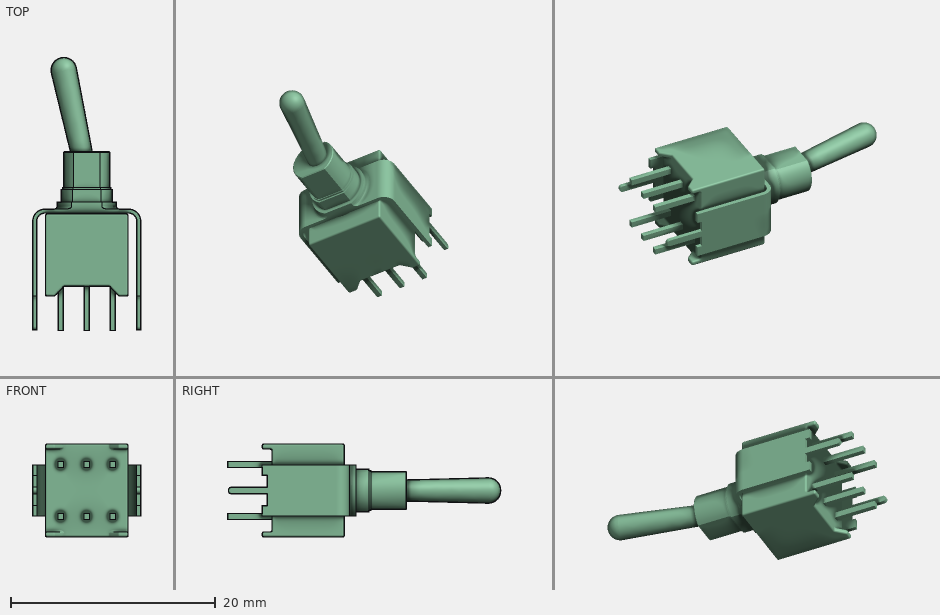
import cadquery as cq
import math

FOOT_END = 3.35
BASE_FACE = 4.32
CASE_TOP = 11.38
BRACKET_TOP = 11.86
BOSS_TOP = 12.53
COLLAR_TOP = 13.78
STEP_TOP = 13.97
BUSHING_TOP = 17.45
LEVER_TOP = 26.65

CASE_WIDTH = 8.08
CASE_DEPTH = 9.1
FOOT_THICKNESS = 0.5
FOOT_GAP_TOP = 4.43
FOOT_GAP_END = 6.3
EDGE_RADIUS = 0.19

BRACKET_WIDTH = 10.55
BRACKET_DEPTH = 5.0
SHEET = 0.4
BEND_RADIUS = 1.2
ARM_NOTCH_TOP = 3.85
ARM_NOTCH_DEPTH = 2.93
LEG_DEPTH = 0.67
LEG_TIP = 0.05

BOSS_RADIUS = 2.9
BOSS_FILLET = 0.3
COLLAR_RADIUS = 2.5
COLLAR_FLATS = 4.19
STEP_RADIUS = 2.35
STEP_FLATS = 3.87
BUSHING_RADIUS = 2.27
BUSHING_FLATS = 3.7
BUSHING_CHAMFER = 0.08

LEVER_TILT = 12.2
BALL_RADIUS = 1.25
BALL_OFFSET = 2.25
LEVER_ROOT_RADIUS = 1.0
LEVER_LENGTH = 9.6

PIN_WIDTH = 0.5
PIN_DEPTH = 0.6
PIN_EMBEDMENT = 0.4
PIN_PITCH = 2.53
PIN_ROW_SPACING = 5.07

BRACKET_UNDERSIDE = BRACKET_TOP - SHEET


def box_between(width, bottom, top, depth):
    """Box centred on X and Z that spans bottom to top along Y."""
    return cq.Workplane("XY").box(width, top - bottom, depth).translate((0, (bottom + top) / 2, 0))


def cylinder_between(radius, bottom, top):
    """Cylinder around the Y axis that spans bottom to top."""
    axis = cq.Vector(0, 1, 0)
    return cq.Workplane(cq.Solid.makeCylinder(radius, top - bottom, cq.Vector(0, bottom, 0), axis))


def flatted_cylinder(radius, flats, bottom, top):
    """Cylinder around the Y axis with two flats facing +Z and -Z."""
    return cylinder_between(radius, bottom, top).intersect(box_between(2 * radius, bottom, top, flats))


def make_case():
    """Rounded case with a foot at each corner of its pin side."""
    case = box_between(CASE_WIDTH, FOOT_END, CASE_TOP, CASE_DEPTH)
    recess = box_between(2 * CASE_WIDTH, 0, BASE_FACE, CASE_DEPTH - 2 * FOOT_THICKNESS)
    gap = (
        cq.Workplane("XY")
        .polyline([
            (-FOOT_GAP_END / 2, FOOT_END),
            (-FOOT_GAP_TOP / 2, BASE_FACE),
            (FOOT_GAP_TOP / 2, BASE_FACE),
            (FOOT_GAP_END / 2, FOOT_END),
        ])
        .close()
        .extrude(CASE_DEPTH, both=True)
    )
    case = case.cut(recess).cut(gap)
    return case.edges().fillet(EDGE_RADIUS)


def make_bracket():
    """Bent sheet bracket that straddles the case."""
    inside_width = BRACKET_WIDTH - 2 * SHEET
    outer = box_between(BRACKET_WIDTH, 0, BRACKET_TOP, BRACKET_DEPTH).edges("|Z and >Y").fillet(BEND_RADIUS)
    inner = box_between(inside_width, 0, BRACKET_UNDERSIDE, BRACKET_DEPTH)
    inner = inner.edges("|Z and >Y").fillet(BEND_RADIUS - SHEET)
    tip_radius = LEG_DEPTH / 2
    tip_centre = LEG_TIP + tip_radius
    tip_outline = cq.Workplane("YZ").center(tip_centre, 0).circle(tip_radius)
    rounded_tip = tip_outline.extrude(BRACKET_WIDTH / 2, both=True)
    leg = box_between(BRACKET_WIDTH, tip_centre, ARM_NOTCH_TOP, LEG_DEPTH).union(rounded_tip)
    trim = (
        box_between(BRACKET_WIDTH, 0, FOOT_END, BRACKET_DEPTH)
        .union(box_between(BRACKET_WIDTH, 0, ARM_NOTCH_TOP, ARM_NOTCH_DEPTH))
        .cut(leg)
    )
    return outer.cut(inner).cut(trim)


def make_boss():
    """Round boss that flares into the bracket, flush with its edges, on a spigot that meets the case."""
    flare = BOSS_RADIUS + BOSS_FILLET
    middle = BOSS_FILLET * (1 - math.sqrt(0.5))
    profile = (
        cq.Workplane("XY")
        .moveTo(0, BRACKET_TOP)
        .lineTo(flare, BRACKET_TOP)
        .threePointArc(
            (BOSS_RADIUS + middle, BRACKET_TOP + middle),
            (BOSS_RADIUS, BRACKET_TOP + BOSS_FILLET),
        )
        .lineTo(BOSS_RADIUS, BOSS_TOP)
        .lineTo(0, BOSS_TOP)
        .close()
    )
    boss = profile.revolve(360, (0, 0, 0), (0, 1, 0))
    spigot = cylinder_between(COLLAR_RADIUS, CASE_TOP, BRACKET_TOP)
    return spigot.union(boss).intersect(box_between(2 * flare, CASE_TOP, BOSS_TOP, BRACKET_DEPTH))


def make_bushing():
    """Collar, step and barrel, all with flats facing +Z and -Z."""
    collar = flatted_cylinder(COLLAR_RADIUS, COLLAR_FLATS, BOSS_TOP, COLLAR_TOP)
    step = flatted_cylinder(STEP_RADIUS, STEP_FLATS, COLLAR_TOP, STEP_TOP)
    barrel = flatted_cylinder(BUSHING_RADIUS, BUSHING_FLATS, STEP_TOP, BUSHING_TOP)
    return collar.union(step).union(barrel.faces(">Y").chamfer(BUSHING_CHAMFER))


def make_lever():
    """Tapered lever with a ball end, tilted toward -X."""
    tilt = math.radians(LEVER_TILT)
    ball_centre = cq.Vector(-BALL_OFFSET, LEVER_TOP - BALL_RADIUS, 0)
    toward_root = cq.Vector(math.sin(tilt), -math.cos(tilt), 0)
    shaft = cq.Solid.makeCone(BALL_RADIUS, LEVER_ROOT_RADIUS, LEVER_LENGTH, ball_centre, toward_root)
    ball = cq.Workplane("XY").sphere(BALL_RADIUS).translate(ball_centre)
    return ball.union(cq.Workplane(shaft))


def make_pins():
    """Two rows of three pins, sunk into the case."""
    pins = cq.Workplane("XY")
    pin = box_between(PIN_WIDTH, 0, BASE_FACE + PIN_EMBEDMENT, PIN_DEPTH)
    for column in (-1, 0, 1):
        for row in (-0.5, 0.5):
            pins = pins.union(pin.translate((column * PIN_PITCH, 0, row * PIN_ROW_SPACING)))
    return pins


result = (
    make_case()
    .union(make_bracket())
    .union(make_boss())
    .union(make_bushing())
    .union(make_lever())
    .union(make_pins())
)